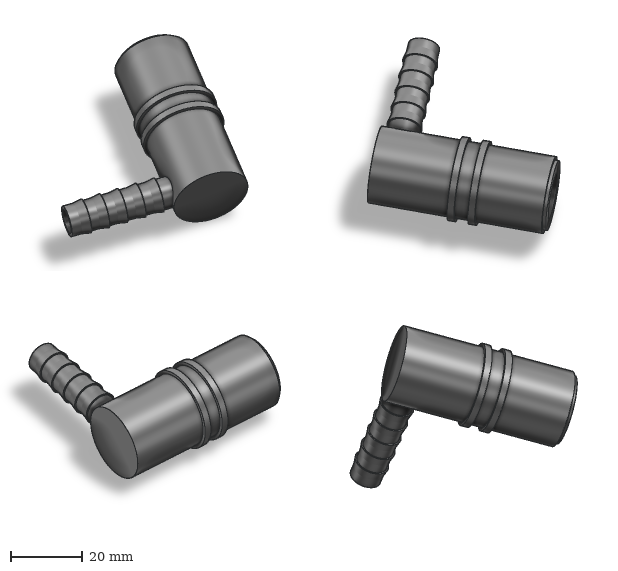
import cadquery as cq

overall_length = 51.0
barrel_dia = 22.0
spigot_dia = 20.0
spigot_length = 1.0

ring_dia = 24.0
ring_width = 2.0
ring_pitch = 6.0
first_ring_x = 20.0
ring_count = 2
ring_starts = [first_ring_x + i * ring_pitch for i in range(ring_count)]

overall_depth = 53.0
stem_dia = 9.0
stem_to_closed_end = 5.5
stem_x = overall_length - stem_to_closed_end
stem_end = overall_depth - ring_dia / 2

barb_dia = 10.0
barb_count = 5
barb_pitch = 5.4
barb_length = barb_pitch / 2
first_barb = 13.75

socket_dia = 13.0
socket_depth = ring_starts[-1] + ring_width
bore_dia = 7.0


def cylinder_x(diameter, start, length):
    """Solid cylinder on the X axis, running towards +X from start."""
    return cq.Workplane("YZ").workplane(offset=start).circle(diameter / 2).extrude(length)


def make_stem():
    """Barbed hose stem, revolved about its own axis from the barrel axis outwards."""
    stem_radius = stem_dia / 2
    profile = cq.Workplane("XY").lineTo(stem_radius, 0)
    for i in range(barb_count):
        shoulder = first_barb + i * barb_pitch
        profile = (
            profile.lineTo(stem_radius, -shoulder)
            .lineTo(barb_dia / 2, -shoulder)
            .lineTo(stem_radius, -(shoulder + barb_length))
        )
    profile = profile.lineTo(stem_radius, -stem_end).lineTo(0, -stem_end).close()
    return profile.revolve(360, (0, 0, 0), (0, 1, 0)).translate((stem_x, 0, 0))


def make_elbow_bore():
    """Round passage along the barrel that turns a mitred corner into the stem."""
    path = cq.Workplane("XY").lineTo(stem_x, 0).lineTo(stem_x, -stem_end)
    return cq.Workplane("YZ").circle(bore_dia / 2).sweep(path, transition="right")


def make_elbow_body():
    """Barrel and hose stem in one piece, hollowed by the socket and the elbow bore."""
    spigot = cylinder_x(spigot_dia, 0, spigot_length)
    barrel = cylinder_x(barrel_dia, spigot_length, overall_length - spigot_length)
    socket = cylinder_x(socket_dia, 0, socket_depth)
    solid = spigot.union(barrel).union(make_stem())
    return solid.cut(socket).cut(make_elbow_bore()).solids().val()


def make_ring(start):
    """Plain band whose inside fits the barrel surface."""
    band = cylinder_x(ring_dia, start, ring_width)
    barrel_hole = cylinder_x(barrel_dia, start, ring_width)
    return band.cut(barrel_hole).solids().val()


elbow_body = make_elbow_body()
rings = [make_ring(start) for start in ring_starts]

result = cq.Compound.makeCompound([elbow_body, *rings])